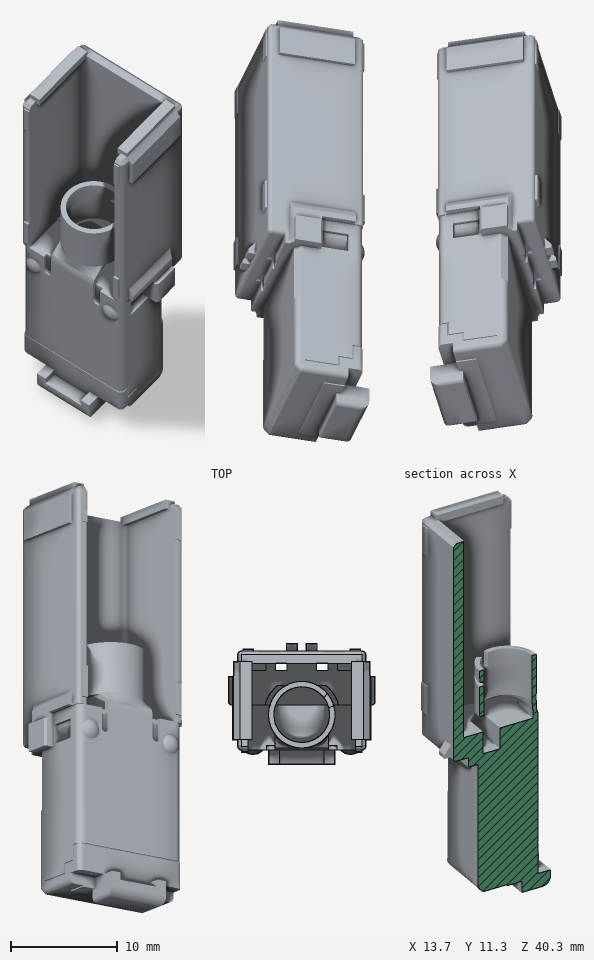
import cadquery as cq
import math

total_height = 40.25
shell_half_width = 6.0
shell_half_depth = 4.64
shell_top = 39.75
shell_bottom = 16.24
shell_edge_radius = 0.4
shell_rim_chamfer = 0.35
side_wall = 0.95
back_wall = 1.16
inner_corner_radius = 0.5
inner_half_width = shell_half_width - side_wall
inner_back = shell_half_depth - back_wall
floor_top = 18.6
floor_front = -0.43
skirt_back = 3.0
skirt_bottom = 15.2

tab_half_depth = 3.65
tab_outer = 5.76
tab_inner = 4.65
grip_outer = 6.38
grip_bottom = 36.2
grip_shoulder = 39.02

spacer_outer = 5.62
back_spacer_inner = 4.52
back_spacer_outer = 5.5
upper_spacer = (36.2, 39.2, 0.12)
lower_spacer = (19.16, 22.2, 0.2)

hook_inner = 0.4
hook_outer = 1.43
hook_back = 5.33
hook_bottom = 16.58
hook_shoulder = 17.0
hook_top = 17.9

wing_outer = 6.49
wing_back = 2.59
wing_back_bevel = 0.35
wing_front = -3.7
wing_top = 19.95
wing_shoulder = 19.07
lock_outer = 6.85
lock_top = 17.9
lock_front_chamfer = 0.21

floor_slot_front = 2.82
floor_slot_inner = 1.4
floor_slot_outer = 2.44
ramp_inner = 3.35
ramp_drop = 0.6
clearance_radius = 3.56
clearance_back = 1.4

housing_half_width = 5.88
housing_front = -shell_half_depth
housing_back = 1.98
housing_top = 18.48
housing_bottom = 1.32
housing_front_radius = 0.7
housing_back_edge = 0.53
back_edge_change = 9.5
cap_top = 4.9
cap_front_radius = 0.5
bottom_radius = 0.45
bottom_back_chamfer = 0.6
front_face_bottom = 2.3
undercut_back = -3.17
foot_half_width = 4.4
foot_bottom = 1.2
foot_back = -1.2

seam_width = 0.12
seam_depth = 0.1
seam_path = [
    (housing_front, cap_top),
    (-3.6, cap_top),
    (-3.6, 3.42),
    (-2.2, 3.42),
    (-2.2, 2.45),
    (1.0, 2.45),
]

latch_half_width = 3.09
latch_front = -5.97
latch_back = -2.79
latch_front_radius = 0.9
latch_side_radius = 0.4
latch_notch_half_width = 2.1
latch_notch_floor = 1.58

flap_half_width = 2.49
flap_slot_width = 0.83
flap_slot_bottom = 16.17
flap_thickness = 0.44
dimple_x = 4.56
dimple_z = 16.2
dimple_radius = 0.92
dimple_height = 0.4

window_front = -3.17
window_back = -0.59
window_bottom = 15.45
window_top = 17.33
window_depth = 0.6
catch_front = -3.06
catch_back = -0.82
catch_bottom = 16.16
catch_tip = 16.82
catch_top = 17.25
catch_height = 0.4

tube_y = -1.32
tube_radius = 3.11
tube_bore_radius = 2.6
tube_top = 25.27
tube_bottom = 20.28
saddle_shoulder = 19.3
saddle_shoulder_y = -4.45
lip_bulge = 0.05

entry_start = 15
entry_end = 40
channel_end = 92
entry_depth = 1.35
channel_height = 0.4
channel_drop = 0.4

overshoot = 1.0


def box(x0, x1, y0, y1, z0, z1):
    """Axis-aligned box given by its limits."""
    return cq.Workplane("XY").box(x1 - x0, y1 - y0, z1 - z0, centered=False).translate((x0, y0, z0))


def both_sides(body):
    """The body together with its mirror image across X = 0."""
    return body.union(body.mirror("YZ"))


def side_profile(points, x0, x1):
    """Outline of (y, z) points extruded from x0 to x1."""
    return cq.Workplane("YZ").polyline(points).close().extrude(x1 - x0).translate((x0, 0, 0))


def front_profile(points, y0, y1):
    """Outline of (x, z) points extruded from y0 to y1."""
    return cq.Workplane("XZ").polyline(points).close().extrude(y0 - y1).translate((0, y0, 0))


def plan_profile(points, z0, z1):
    """Outline of (x, y) points extruded from z0 to z1."""
    return cq.Workplane("XY").polyline(points).close().extrude(z1 - z0).translate((0, 0, z0))


def make_shell():
    w = shell_half_width
    d = shell_half_depth
    body = box(-w, w, -d, d, shell_bottom, shell_top)
    body = body.edges("|Z").fillet(shell_edge_radius)
    body = body.faces("<Z").edges(">Y").fillet(shell_rim_chamfer)
    body = body.faces(">Z").edges().chamfer(shell_rim_chamfer)
    cavity = box(-inner_half_width, inner_half_width, -d - overshoot, inner_back, floor_top, total_height)
    body = body.cut(cavity.edges("|Z and >Y").fillet(inner_corner_radius))
    body = body.cut(box(-w, w, -d, floor_front, shell_bottom, housing_top))
    body = body.cut(box(-inner_half_width, inner_half_width, -d, floor_front, shell_bottom, floor_top))
    return body.union(box(-w, w, floor_front, skirt_back, skirt_bottom, floor_top))


def make_tab_and_grip():
    tab_root = shell_top - shell_rim_chamfer
    tab = box(tab_inner, tab_outer, -tab_half_depth, tab_half_depth, tab_root, total_height)
    wall_x = inner_half_width
    outline = [
        (wall_x, grip_bottom),
        (grip_outer, grip_bottom),
        (grip_outer, grip_shoulder),
        (tab_outer, shell_top),
        (wall_x, shell_top),
    ]
    grip = front_profile(outline, -tab_half_depth, tab_half_depth)
    return both_sides(tab.union(grip))


def make_spacers():
    d = shell_half_depth
    spacers = cq.Workplane("XY")
    for bottom, top, height in (upper_spacer, lower_spacer):
        front = box(inner_half_width, spacer_outer, -d - height, -d + side_wall, bottom, top)
        back = box(back_spacer_inner, back_spacer_outer, inner_back + back_wall / 2, d + height, bottom, top)
        spacers = spacers.union(front).union(back)
    return both_sides(spacers)


def make_hooks():
    root = inner_back + back_wall / 2
    outline = [
        (root, hook_bottom),
        (hook_back, hook_bottom),
        (hook_back, hook_shoulder),
        (shell_half_depth, hook_top),
        (root, hook_top),
    ]
    return both_sides(side_profile(outline, hook_inner, hook_outer))


def make_wings():
    root = inner_half_width
    bevel_start = wing_back - wing_back_bevel
    rise = [
        (root, skirt_bottom),
        (wing_outer, skirt_bottom),
        (wing_outer, wing_shoulder),
        (shell_half_width, wing_top),
        (root, wing_top),
    ]
    wing = front_profile(rise, wing_front, wing_back)
    bevel = [
        (shell_half_width, wing_back),
        (wing_outer, wing_back),
        (wing_outer, bevel_start),
    ]
    wing = wing.cut(plan_profile(bevel, skirt_bottom, wing_top))
    wing = wing.cut(box(root, wing_outer, wing_front, floor_front, skirt_bottom, housing_top))
    lock_corner = lock_outer - lock_front_chamfer
    lock_outline = [
        (root, bevel_start),
        (lock_outer, bevel_start),
        (lock_outer, floor_front + lock_front_chamfer),
        (lock_corner, floor_front),
        (root, floor_front),
    ]
    return both_sides(wing.union(plan_profile(lock_outline, skirt_bottom, lock_top)))


def cut_floor(body):
    slot = box(
        floor_slot_inner, floor_slot_outer, floor_slot_front, inner_back, skirt_bottom - overshoot, floor_top
    )
    ramp_outline = [
        (floor_slot_front, floor_top),
        (inner_back, floor_top),
        (inner_back, floor_top - ramp_drop),
    ]
    ramp = side_profile(ramp_outline, ramp_inner, inner_half_width)
    clearance = cq.Workplane("XY").center(0, tube_y).circle(clearance_radius)
    clearance = clearance.extrude(floor_top - shell_bottom).translate((0, 0, shell_bottom))
    window = box(
        -clearance_radius, clearance_radius, floor_front, clearance_back, shell_bottom, floor_top
    )
    return body.cut(both_sides(slot.union(ramp))).cut(clearance.intersect(window))


def make_housing():
    w = housing_half_width
    upper = box(-w, w, housing_front, housing_back, back_edge_change, housing_top)
    upper = upper.edges("|Z and <Y").fillet(housing_front_radius)
    upper = upper.edges("|Z and >Y").chamfer(housing_back_edge)
    upper = upper.cut(box(-w, w, floor_front, housing_back, shell_bottom, housing_top))
    middle = box(-w, w, housing_front, housing_back, cap_top, back_edge_change)
    middle = middle.edges("|Z and <Y").fillet(housing_front_radius)
    middle = middle.edges("|Z and >Y").fillet(housing_back_edge)
    cap = box(-w, w, housing_front, housing_back, housing_bottom, cap_top)
    cap = cap.edges("|Z and <Y").fillet(cap_front_radius)
    cap = cap.faces("<Z").edges(">Y").chamfer(bottom_back_chamfer)
    cap = cap.faces("<X or >X").edges("(not |Z) and (not >Z)").fillet(bottom_radius)
    cap = cap.edges("|Z and >Y").fillet(housing_back_edge)
    cap = cap.cut(box(-w, w, housing_front, undercut_back, housing_bottom, front_face_bottom))
    foot = box(-foot_half_width, foot_half_width, undercut_back, foot_back, foot_bottom, cap_top)
    return upper.union(middle).union(cap).union(foot)


def make_seam():
    w = housing_half_width
    half = seam_width / 2
    seam = box(-w, w, housing_front, housing_front + seam_depth, cap_top - half, cap_top + half)
    for (ya, za), (yb, zb) in zip(seam_path, seam_path[1:]):
        piece = box(
            w - seam_depth, w, min(ya, yb) - half, max(ya, yb) + half, min(za, zb) - half, max(za, zb) + half
        )
        seam = seam.union(both_sides(piece))
    return seam


def make_latch():
    block = box(-latch_half_width, latch_half_width, latch_front, latch_back, 0, front_face_bottom)
    front_rounded = block.faces("<Z").edges("<Y").fillet(latch_front_radius)
    sides_rounded = block.faces("<Z").edges("|Y").fillet(latch_side_radius)
    n = latch_notch_half_width
    notch = box(-n, n, latch_front, housing_front, latch_notch_floor, front_face_bottom)
    return front_rounded.intersect(sides_rounded).cut(notch)


def make_flap_slots():
    radius = flap_slot_width / 2
    centre = flap_half_width + radius
    back = housing_front + flap_thickness
    slot = box(
        flap_half_width, flap_half_width + flap_slot_width, housing_front, back,
        flap_slot_bottom + radius, housing_top
    )
    end = cq.Workplane("XZ").center(centre, flap_slot_bottom + radius).circle(radius)
    end = end.extrude(flap_thickness).translate((0, back, 0))
    return both_sides(slot.union(end))


def make_dimples():
    sphere_radius = (dimple_radius**2 + dimple_height**2) / (2 * dimple_height)
    centre_y = housing_front - dimple_height + sphere_radius
    return both_sides(cq.Workplane("XY").sphere(sphere_radius).translate((dimple_x, centre_y, dimple_z)))


def make_window():
    recess_x = housing_half_width - window_depth
    recess = box(recess_x, shell_half_width, window_front, window_back, window_bottom, window_top)
    catch_outline = [
        (recess_x, catch_bottom),
        (recess_x + catch_height, catch_tip),
        (recess_x + catch_height, catch_top),
        (recess_x, catch_top),
    ]
    return both_sides(recess.cut(front_profile(catch_outline, catch_front, catch_back)))


def tube_sector(start, end, z0, z1):
    """Wedge around the tube axis between two angles, wide enough to cross the wall."""
    reach = 2 * tube_radius
    corners = [(0, tube_y)]
    for angle in (start, end):
        a = math.radians(angle)
        corners.append((reach * math.cos(a), tube_y + reach * math.sin(a)))
    return plan_profile(corners, z0, z1)


def make_tube():
    tube = cq.Workplane("XY").center(0, tube_y).circle(tube_radius).circle(tube_bore_radius)
    tube = tube.extrude(tube_top - tube_bottom).translate((0, 0, tube_bottom))
    return tube.cut(make_bayonet_slot()).union(make_saddle()).union(make_flap_lip())


def wall_y(radius):
    """Y where the front of a circle about the tube axis meets the side of the saddle."""
    return tube_y - math.sqrt(radius**2 - flap_half_width**2)


def make_saddle():
    """Web ruled from a straight bar on the flap up to the front arc of the tube wall."""
    w = flap_half_width
    outer = saddle_shoulder_y
    inner = saddle_shoulder_y + flap_thickness
    bar = cq.Workplane("XY").workplane(offset=saddle_shoulder)
    bar = bar.moveTo(-w, outer).lineTo(w, outer).lineTo(w, inner).lineTo(-w, inner).close()
    arc = (
        cq.Workplane("XY")
        .workplane(offset=tube_bottom)
        .moveTo(-w, wall_y(tube_radius))
        .threePointArc((0, tube_y - tube_radius), (w, wall_y(tube_radius)))
        .lineTo(w, wall_y(tube_bore_radius))
        .threePointArc((0, tube_y - tube_bore_radius), (-w, wall_y(tube_bore_radius)))
        .close()
    )
    return cq.Workplane(cq.Solid.makeLoft([bar.val(), arc.val()], True))


def make_flap_lip():
    """Top of the flap, rounding over from the housing front to the saddle."""
    back = saddle_shoulder_y + flap_thickness
    middle = ((saddle_shoulder_y + housing_front) / 2 - lip_bulge, (saddle_shoulder + housing_top) / 2)
    lip = (
        cq.Workplane("YZ")
        .moveTo(back, housing_top - overshoot)
        .lineTo(housing_front, housing_top - overshoot)
        .lineTo(housing_front, housing_top)
        .threePointArc(middle, (saddle_shoulder_y, saddle_shoulder))
        .lineTo(back, saddle_shoulder)
        .close()
    )
    return lip.extrude(flap_half_width, both=True)


def make_bayonet_slot():
    """Entry open at the rim, then a channel that slopes down behind the remaining rim."""
    mid_angle = (entry_start + channel_end) / 2

    def along(angle):
        return tube_radius * math.sin(math.radians(angle - mid_angle))

    sill = tube_top - entry_depth
    roof = sill + channel_height
    start = along(entry_start)
    end = along(channel_end)
    outline = [
        (start, tube_top),
        (start, sill),
        (end, sill - channel_drop),
        (end, roof - channel_drop),
        (along(entry_end), roof),
        (along(entry_end), tube_top),
    ]
    slot = cq.Workplane("YZ").polyline(outline).close().extrude(2 * tube_radius)
    slot = slot.rotate((0, 0, 0), (0, 0, 1), mid_angle).translate((0, tube_y, 0))
    return slot.intersect(tube_sector(entry_start, channel_end, tube_bottom, tube_top))


shell = make_shell().union(make_tab_and_grip()).union(make_spacers()).union(make_hooks())
shell = cut_floor(shell.union(make_wings()))

housing = make_housing().union(make_dimples()).cut(make_seam()).cut(make_window())
housing = housing.union(make_latch()).cut(make_flap_slots())

result = shell.union(housing).union(make_tube())